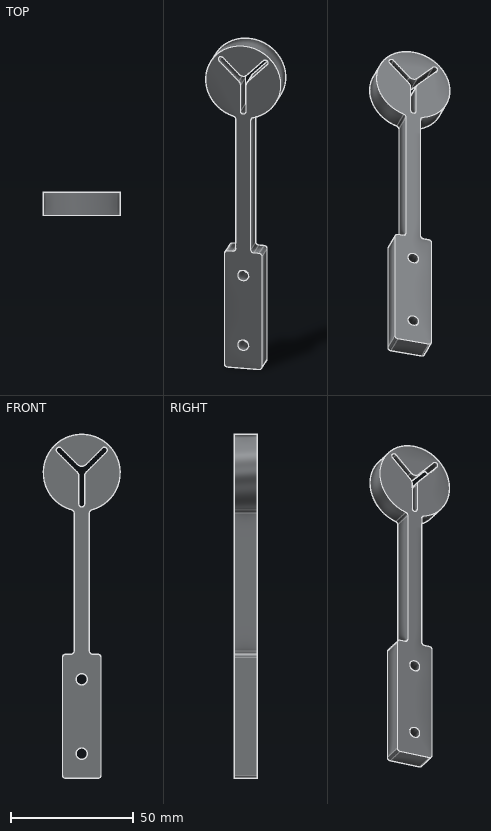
import cadquery as cq
import math

total_height = 141.0
thickness = 9.6
head_diameter = 31.6
head_radius = head_diameter / 2
head_center_z = total_height - head_radius

block_width = head_diameter / 2
block_height = 50.9
stem_width = 6.3
edge_radius = 1.3

hole_diameter = 4.5
hole_spacing = 30.5
lower_hole_z = 10.2

slot_width = 2.3
lower_arm_length = 12.8
upper_arm_length = 13.1
upper_arm_angle = 45
slot_corner_radius = 2.4

pick_margin = 0.07


def slab(width, bottom_z, top_z):
    """Full-thickness rectangular bar centered on X = 0 and Y = 0."""
    height = top_z - bottom_z
    bar = cq.Workplane("XY").box(width, thickness, height, centered=(True, True, False))
    return bar.translate((0, 0, bottom_z))


def cylinder(diameter, center_z):
    """Full-thickness cylinder along Y."""
    return (
        cq.Workplane("XZ")
        .center(0, center_z)
        .circle(diameter / 2)
        .extrude(thickness / 2, both=True)
    )


def edges_at(body, x, z):
    """Edges along Y at the mirrored positions (-x, z) and (x, z)."""
    edges = body.newObject([])
    for corner_x in sorted({-x, x}):
        corner_box = cq.selectors.BoxSelector(
            (corner_x - pick_margin, -thickness, z - pick_margin),
            (corner_x + pick_margin, thickness, z + pick_margin),
        )
        edges = edges.add(body.edges(corner_box))
    return edges


def slot_arm(length, angle):
    """Round-ended arm starting at the head center; angle is measured from +X."""
    arm = (
        cq.Workplane("XZ")
        .center(length / 2, 0)
        .slot2D(length + slot_width, slot_width)
        .extrude(thickness / 2, both=True)
    )
    return arm.rotate((0, 0, 0), (0, 1, 0), -angle)


def y_slot():
    """Three joined arms with rounded inner corners, centered on the origin."""
    slot = slot_arm(lower_arm_length, -90)
    for angle in (upper_arm_angle, 180 - upper_arm_angle):
        slot = slot.union(slot_arm(upper_arm_length, angle))
    half_width = slot_width / 2
    tilt = math.radians(upper_arm_angle)
    upper_corner_z = half_width / math.cos(tilt)
    side_corner_z = half_width * math.tan(tilt) - upper_corner_z
    slot = edges_at(slot, 0, upper_corner_z).fillet(slot_corner_radius)
    return edges_at(slot, half_width, side_corner_z).fillet(slot_corner_radius)


body = slab(block_width, 0, block_height)
body = body.union(slab(stem_width, block_height, head_center_z))
body = body.union(cylinder(head_diameter, head_center_z))

stem_half_width = stem_width / 2
stem_top_z = head_center_z - math.sqrt(head_radius**2 - stem_half_width**2)
rounded_corners = (
    (block_width / 2, 0),
    (block_width / 2, block_height),
    (stem_half_width, block_height),
    (stem_half_width, stem_top_z),
)
for corner_x, corner_z in rounded_corners:
    body = edges_at(body, corner_x, corner_z).fillet(edge_radius)

for hole_z in (lower_hole_z, lower_hole_z + hole_spacing):
    body = body.cut(cylinder(hole_diameter, hole_z))

result = body.cut(y_slot().translate((0, 0, head_center_z)))